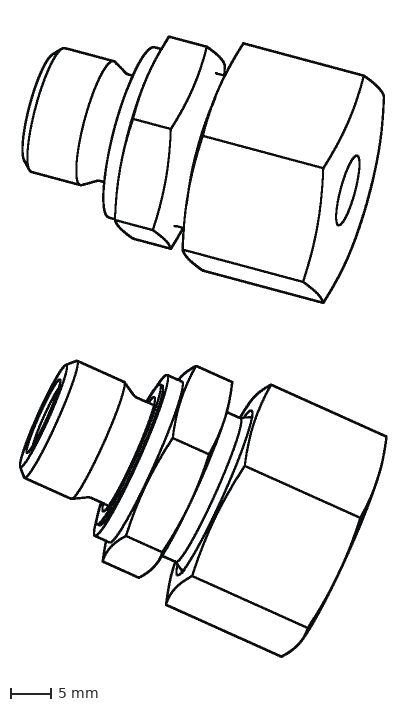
import cadquery as cq
import math

stud_thread_end = 7.45
seal_front = 11.7
flange_front = 12.03
hex_front = 14.05
hex_back = 20.05
groove_end = 22.65
nut_front = 23.5
nut_back = 40.5
thread_depth = 12.15
seal_thickness = 1.5

bore_radius = 4.5
stud_radius = 8.0
neck_radius = 6.9
seal_radius = 9.55
flange_radius = 11.0
groove_radius = 9.85
stem_radius = 10.55
nut_mouth_radius = 11.25

hex_sides = 6
body_hex_flats = 24.0
nut_hex_flats = 27.0

stud_chamfer = 1.0
bore_chamfer = 0.53
runout_angle = 30.0
hex_chamfer_angle = 15.0
neck_blend = 1.0
groove_fillet = 0.5
seal_mouth_radius = 7.8
countersink_angle = 60.0

runout_slope = math.tan(math.radians(runout_angle))
countersink_slope = math.tan(math.radians(countersink_angle))
seal_back = seal_front + seal_thickness
stem_back = nut_front + thread_depth


def revolve_about_x(profile):
    """Turn a closed (x, radius) profile about the X axis."""
    return profile.close().revolve(360, (0, 0, 0), (1, 0, 0))


def rod(start, end, radius):
    """Solid cylinder along X."""
    return cq.Workplane("YZ", origin=(start, 0, 0)).circle(radius).extrude(end - start)


def chamfered_hex(start, end, flats):
    """Hexagonal prism along X, corners up on +Y and -Y, with both ends turned to a shallow cone."""
    flat_radius = flats / 2
    corner_radius = flat_radius / math.cos(math.pi / hex_sides)
    cone_length = (corner_radius - flat_radius) * math.tan(math.radians(hex_chamfer_angle))
    prism = cq.Workplane("YZ", origin=(start, 0, 0)).polygon(hex_sides, 2 * corner_radius)
    prism = prism.extrude(end - start)
    envelope = revolve_about_x(
        cq.Workplane("XY")
        .moveTo(start, 0)
        .lineTo(start, flat_radius)
        .lineTo(start + cone_length, corner_radius)
        .lineTo(end - cone_length, corner_radius)
        .lineTo(end, flat_radius)
        .lineTo(end, 0)
    )
    return prism.intersect(envelope)


def make_stud():
    """Threaded stud end, with the run-out cone blending into the neck."""
    angle = math.radians(runout_angle)
    blend_length = neck_blend * math.sin(angle)
    blend_drop = neck_blend * (1 - math.cos(angle))
    blend_start_radius = neck_radius + blend_drop
    blend_start = stud_thread_end + (stud_radius - blend_start_radius) / runout_slope
    blend_mid_x = blend_start + blend_length - neck_blend * math.sin(angle / 2)
    blend_mid_radius = neck_radius + neck_blend * (1 - math.cos(angle / 2))
    return revolve_about_x(
        cq.Workplane("XY")
        .moveTo(0, 0)
        .lineTo(0, stud_radius - stud_chamfer)
        .lineTo(stud_chamfer, stud_radius)
        .lineTo(stud_thread_end, stud_radius)
        .lineTo(blend_start, blend_start_radius)
        .threePointArc((blend_mid_x, blend_mid_radius), (blend_start + blend_length, neck_radius))
        .lineTo(hex_front, neck_radius)
        .lineTo(hex_front, 0)
    )


def make_stem():
    """Groove behind the hexagon and the threaded stem that the nut screws onto."""
    runout_end = groove_end + (stem_radius - groove_radius) / runout_slope
    fillet_centre = (hex_back + groove_fillet, groove_radius + groove_fillet)
    reach = groove_fillet * math.sqrt(0.5)
    return revolve_about_x(
        cq.Workplane("XY")
        .moveTo(hex_back, 0)
        .lineTo(hex_back, fillet_centre[1])
        .threePointArc(
            (fillet_centre[0] - reach, fillet_centre[1] - reach),
            (fillet_centre[0], groove_radius),
        )
        .lineTo(groove_end, groove_radius)
        .lineTo(runout_end, stem_radius)
        .lineTo(stem_back, stem_radius)
        .lineTo(stem_back, 0)
    )


def make_bore():
    """Through bore with its entry chamfer at the stud end."""
    return revolve_about_x(
        cq.Workplane("XY")
        .moveTo(0, 0)
        .lineTo(0, bore_radius + bore_chamfer)
        .lineTo(bore_chamfer, bore_radius)
        .lineTo(nut_back, bore_radius)
        .lineTo(nut_back, 0)
    )


def make_body():
    """Stud, flange with its seal seat, hexagon and stem in one piece."""
    seal_seat = rod(flange_front, seal_back, seal_radius)
    flange = rod(flange_front, hex_front, flange_radius).cut(seal_seat)
    hexagon = chamfered_hex(hex_front, hex_back, body_hex_flats)
    return flange.union(hexagon).union(make_stud()).union(make_stem()).cut(make_bore())


def make_seal():
    """Sealing ring in the flange, wider at the mouth of its hole."""
    mouth_depth = (seal_mouth_radius - neck_radius) / countersink_slope
    return revolve_about_x(
        cq.Workplane("XY")
        .moveTo(seal_front, seal_mouth_radius)
        .lineTo(seal_front, seal_radius)
        .lineTo(seal_back, seal_radius)
        .lineTo(seal_back, neck_radius)
        .lineTo(seal_front + mouth_depth, neck_radius)
    )


def make_nut():
    """Union nut with a countersunk socket for the stem and the bore through its end wall."""
    mouth_depth = (nut_mouth_radius - stem_radius) / countersink_slope
    socket = revolve_about_x(
        cq.Workplane("XY")
        .moveTo(nut_front, 0)
        .lineTo(nut_front, nut_mouth_radius)
        .lineTo(nut_front + mouth_depth, stem_radius)
        .lineTo(stem_back, stem_radius)
        .lineTo(stem_back, 0)
    )
    nut = chamfered_hex(nut_front, nut_back, nut_hex_flats)
    return nut.cut(socket).cut(make_bore())


body = make_body()
seal = make_seal()
nut = make_nut()

result = cq.Compound.makeCompound([body.val(), seal.val(), nut.val()])